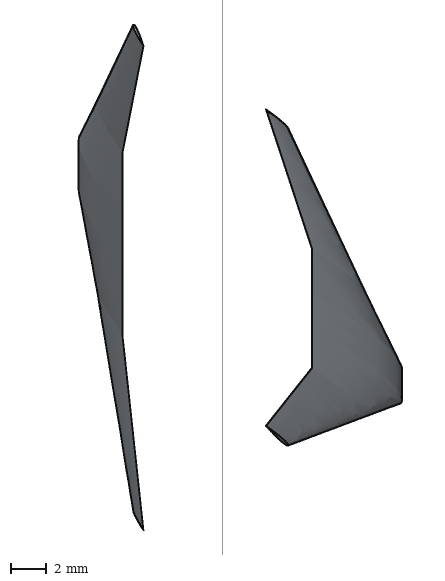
import cadquery as cq
import math

span = 39.17
half_span = span / 2
center_half_width = 1.95
kink_station = 7.35

root_chord = 7.05
tip_trailing_edge = 10.7
tip_chord = 1.75

root_thickness = 1.1
kink_thickness = 0.55
tip_thickness = 0.175

tip_leading_edge = tip_trailing_edge - tip_chord
leading_edge_slope = tip_leading_edge / (half_span - center_half_width)
kink_leading_edge = leading_edge_slope * (kink_station - center_half_width)
kink_chord = root_chord - kink_leading_edge

points_per_side = 16


def half_thickness(fraction, thickness):
    """Symmetric NACA four-digit half thickness, closed at the trailing edge."""
    shape = (0.2969 * math.sqrt(fraction) - 0.1260 * fraction - 0.3516 * fraction**2
             + 0.2843 * fraction**3 - 0.1036 * fraction**4)
    return 5 * thickness * shape


def airfoil(station, leading_edge, chord, thickness):
    """Closed airfoil wire in the plane at height `station`."""
    upper = []
    for i in range(points_per_side):
        fraction = (1 + math.cos(math.pi * i / points_per_side)) / 2
        upper.append((leading_edge + chord * fraction, half_thickness(fraction, thickness)))
    upper[0] = (leading_edge + chord, 0)
    lower = [(x, -y) for x, y in reversed(upper)]
    nose = (leading_edge, 0)
    return (
        cq.Workplane("XY", origin=(0, 0, station))
        .moveTo(*upper[0])
        .spline(upper[1:] + [nose], includeCurrent=True)
        .spline(lower, includeCurrent=True)
        .wire()
        .val()
    )


sections = [
    (0, 0, root_chord, root_thickness),
    (center_half_width, 0, root_chord, root_thickness),
    (kink_station, kink_leading_edge, kink_chord, kink_thickness),
    (half_span, tip_leading_edge, tip_chord, tip_thickness),
]
lower_half = [(-station, *shape) for station, *shape in reversed(sections[1:])]

wires = [airfoil(*section) for section in lower_half + sections]
result = cq.Workplane("XY").newObject([cq.Solid.makeLoft(wires, True)])